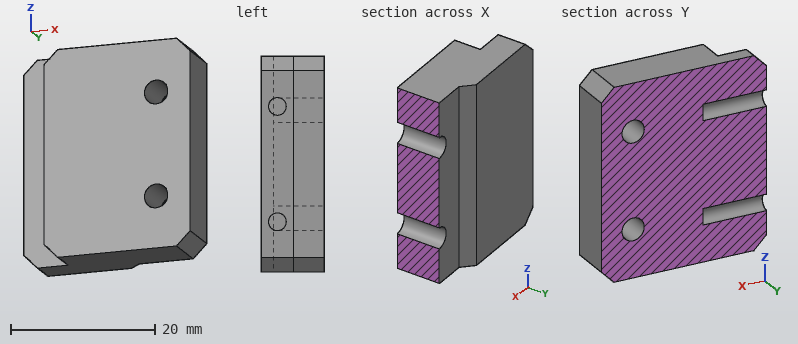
import cadquery as cq

width = 26.0
thickness = 8.75
height = 30.0
corner_chamfer = 2.0

rear_layer_thickness = 4.5
overhang = 4.5
front_layer_thickness = thickness - rear_layer_thickness

back_step = 1.75
ramp_start = 14.3
ramp_end = ramp_start + back_step

mount_diameter = 3.42
mount_x = width - 5.0
mount_spacing = 15.0

side_diameter = 2.45
side_depth = 10.0
side_y = thickness - rear_layer_thickness / 2
side_spacing = 16.02


def chamfered_layer(left, front, layer_thickness):
    """Plate from X = left to the right end, with its four corners cut."""
    return (
        cq.Workplane("XY")
        .box(width - left, layer_thickness, height, centered=(False, False, True))
        .translate((left, front, 0))
        .edges("|Y")
        .chamfer(corner_chamfer)
    )


def back_step_cutter():
    """Material removed behind the right part of the back face."""
    return (
        cq.Workplane("XY")
        .moveTo(ramp_start, thickness)
        .lineTo(ramp_end, thickness - back_step)
        .lineTo(width, thickness - back_step)
        .lineTo(width, thickness)
        .close()
        .extrude(height / 2, both=True)
    )


def hole(diameter, depth, start, direction):
    return cq.Workplane(
        cq.Solid.makeCylinder(diameter / 2, depth, cq.Vector(*start), cq.Vector(*direction))
    )


front_layer = chamfered_layer(overhang, 0, front_layer_thickness)
rear_layer = chamfered_layer(0, front_layer_thickness, rear_layer_thickness)
result = front_layer.union(rear_layer).cut(back_step_cutter())

for side in (-1, 1):
    mount_start = (mount_x, 0, side * mount_spacing / 2)
    side_start = (0, side_y, side * side_spacing / 2)
    result = result.cut(hole(mount_diameter, thickness, mount_start, (0, 1, 0)))
    result = result.cut(hole(side_diameter, side_depth, side_start, (1, 0, 0)))